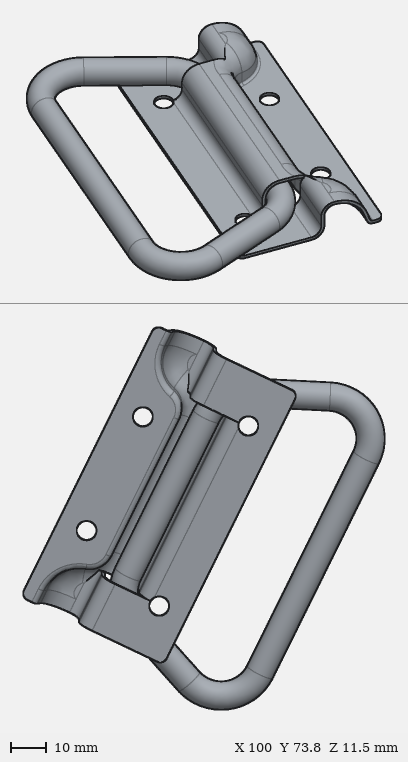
import cadquery as cq
import math


sheet = 1.0
plate_length = 86.0
plate_back = 24.5
plate_front = -19.8
corner_radius = 2.0
hole_diameter = 5.5
hole_places = [(18.0, 16.2), (28.5, -11.4)]

ridge_height = 11.5
slit_x = 28.2
end_crest_y = 9.5
end_wall_y = 5.5
middle_crest_y = 2.5
middle_wall_y = -6.0
end_front_round = 4.0
middle_front_round = 5.2
front_foot_radius = 3.0
back_foot_radius = 0.8
end_back_round = 10.5
middle_back_round = 5.2
end_foot_reach = 11.7
middle_foot_reach = middle_back_round + back_foot_radius

bulge_x = 38.7
hollow_x = 21.7
hollow_radius = 5.0
end_foot_y = end_crest_y + end_foot_reach
middle_foot_y = middle_crest_y + middle_foot_reach
run_x = bulge_x - hollow_x
run_y = end_foot_y - middle_foot_y
bulge_radius = (run_x**2 + run_y**2) / (2 * run_y) - hollow_radius
bulge_y = end_foot_y - bulge_radius
hollow_y = middle_foot_y + hollow_radius
turn = math.asin(run_x / (bulge_radius + hollow_radius))
junction_blend = bulge_radius / (bulge_radius + hollow_radius)
core_radius = 0.5
crest_clearance = 1.4
convex_steps = 5
concave_steps = 4

rod_diameter = 8.0
rod_height = 5.2
bend_radius = 12.0
pivot_half = 25.0
grip_half = 34.0
grip_y = -45.3


def front_profile(wall_y, round_radius, offset):
    """Area under the front of the ridge, `offset` inside its outer face, in (y, z)."""
    top = ridge_height - offset
    wall = wall_y + offset
    foot_radius = front_foot_radius + offset
    foot_y = wall_y - front_foot_radius
    floor = sheet - offset
    radius = round_radius - offset
    diagonal = math.sqrt(0.5)
    outline = (
        cq.Workplane("YZ")
        .moveTo(plate_back, 0)
        .lineTo(plate_back, top)
        .lineTo(wall + radius, top)
        .threePointArc((wall + radius * (1 - diagonal), top - radius * (1 - diagonal)), (wall, top - radius))
        .lineTo(wall, floor + foot_radius)
        .threePointArc(
            (foot_y + foot_radius * diagonal, floor + foot_radius * (1 - diagonal)), (foot_y, floor)
        )
    )
    if floor > 0:
        outline = outline.lineTo(foot_y, 0)
    return outline.close()


def front_region(offset):
    """Everything behind the front faces of the two end ridges and the middle arch."""
    full = front_profile(end_wall_y, end_front_round, offset).extrude(plate_length / 2, both=True)
    middle = front_profile(middle_wall_y, middle_front_round, offset).extrude(slit_x, both=True)
    return full.union(middle)


def reach_at(blend):
    """Distance from crest to foot, `blend` of the way from the plate end to the middle arch."""
    return end_foot_reach + blend * (middle_foot_reach - end_foot_reach)


def back_section(blend, foot, outward, flat, offset):
    """Closed wire across the back wall, in the vertical plane through the point `foot`.

    `outward` points from the ridge to the plate. `blend` goes from 0 at the plate end to 1 at
    the middle arch, and `flat` is the length of ridge top kept beyond the crest.
    """
    reach = reach_at(blend)
    crest_round = end_back_round + blend * (middle_back_round - end_back_round)
    round_z = ridge_height - crest_round
    foot_z = sheet + back_foot_radius
    distance = math.hypot(reach, foot_z - round_z)
    wall_angle = math.atan2(foot_z - round_z, reach) + math.acos(
        (crest_round + back_foot_radius) / distance
    )
    crest_radius = crest_round - offset
    foot_radius = back_foot_radius + offset
    floor = sheet - offset

    def point(u, z):
        back = reach - u
        return cq.Vector(foot[0] - back * outward[0], foot[1] - back * outward[1], z)

    def crest_point(angle):
        return point(crest_radius * math.cos(angle), round_z + crest_radius * math.sin(angle))

    def foot_point(angle):
        return point(reach - foot_radius * math.cos(angle), foot_z - foot_radius * math.sin(angle))

    up = math.pi / 2
    middle_angle = (wall_angle + up) / 2
    corners = [crest_point(up), point(-flat, ridge_height - offset), point(-flat, 0), point(reach, 0)]
    if floor > 0:
        corners.append(point(reach, floor))
    edges = [cq.Edge.makeLine(a, b) for a, b in zip(corners, corners[1:])]
    edges += [
        cq.Edge.makeThreePointArc(foot_point(up), foot_point(middle_angle), foot_point(wall_angle)),
        cq.Edge.makeLine(foot_point(wall_angle), crest_point(wall_angle)),
        cq.Edge.makeThreePointArc(crest_point(wall_angle), crest_point(middle_angle), crest_point(up)),
    ]
    return cq.Wire.assembleEdges(edges)


def straight_run(blend, start_x, end_x, foot_y, offset):
    """Straight stretch of the back wall along X."""
    flat = foot_y - plate_front - end_foot_reach
    section = back_section(blend, (start_x, foot_y), (0, 1), flat, offset)
    return cq.Workplane(cq.Solid.extrudeLinear(section, [], cq.Vector(end_x - start_x, 0, 0)))


def bend(centre, radius, side, angles, blends, offset):
    """Curved stretch of the back wall about `centre`, lofted through radial sections.

    `side` is 1 where the wall bulges away from `centre` and -1 where it is hollow. The angles
    turn the outward direction from +Y towards -X on a bend that lies on the +X half.
    """
    sections = []
    for angle, blend in zip(angles, blends):
        outward = (-math.sin(angle), math.cos(angle))
        foot = (centre[0] + side * radius * outward[0], centre[1] + side * radius * outward[1])
        flat = bulge_radius - reach_at(blend) - core_radius / 2
        sections.append(back_section(blend, foot, outward, flat, offset))
    return cq.Workplane(cq.Solid.makeLoft(sections))


def bulge(offset):
    shares = [step / convex_steps for step in range(convex_steps + 1)]
    angles = [turn * share for share in shares]
    blends = [junction_blend * share for share in shares]
    return bend((bulge_x, bulge_y), bulge_radius, 1, angles, blends, offset)


def hollow(offset):
    shares = [step / concave_steps for step in range(concave_steps + 1)]
    angles = [turn * (1 - share) for share in shares]
    blends = [junction_blend + (1 - junction_blend) * share for share in shares]
    return bend((hollow_x, hollow_y), hollow_radius, -1, angles, blends, offset)


def flat_top(offset):
    """Level top in front of the bends on the +X half, clear of the sloping back wall."""
    top = ridge_height - offset
    clear_radius = hollow_radius + reach_at(junction_blend) + crest_clearance
    area = (
        cq.Workplane("XY")
        .moveTo(hollow_x, plate_front)
        .lineTo(bulge_x, plate_front)
        .lineTo(bulge_x, bulge_y)
        .lineTo(hollow_x, bulge_y)
        .close()
        .extrude(top)
    )
    slope = cq.Workplane("XY").center(hollow_x, hollow_y).circle(clear_radius).extrude(top)
    core = cq.Workplane("XY").center(bulge_x, bulge_y).circle(core_radius).extrude(top)
    return area.cut(slope).union(core)


def back_region(offset):
    """Everything in front of the winding back wall of the ridge."""
    half = straight_run(0, plate_length / 2, bulge_x, end_foot_y, offset)
    for part in (bulge(offset), hollow(offset), flat_top(offset)):
        half = half.union(part)
    middle = straight_run(1, -hollow_x, hollow_x, middle_foot_y, offset)
    return middle.union(half).union(half.mirror("YZ"))


def ridge(offset):
    """Ridge filled solid down to z = 0; an offset of one sheet gives the hollow under it."""
    return front_region(offset).intersect(back_region(offset))


def make_bracket():
    plate = (
        cq.Workplane("XY")
        .center(0, (plate_back + plate_front) / 2)
        .rect(plate_length, plate_back - plate_front)
        .extrude(sheet)
        .edges("|Z")
        .fillet(corner_radius)
    )
    holes = (
        cq.Workplane("XY")
        .pushPoints([(side * x, y) for x, y in hole_places for side in (-1, 1)])
        .circle(hole_diameter / 2)
        .extrude(ridge_height)
    )
    return plate.union(ridge(0)).cut(ridge(sheet)).cut(holes)


def make_handle():
    top_centre = (pivot_half, -bend_radius)
    low_centre = (grip_half, grip_y + bend_radius)
    splay = math.atan2(low_centre[0] - top_centre[0], top_centre[1] - low_centre[1])

    def on_bend(centre, angle):
        return (centre[0] + bend_radius * math.cos(angle), centre[1] + bend_radius * math.sin(angle))

    def flip(place):
        return (-place[0], place[1])

    top_middle = on_bend(top_centre, (math.pi / 2 + splay) / 2)
    top_end = on_bend(top_centre, splay)
    low_start = on_bend(low_centre, splay)
    low_middle = on_bend(low_centre, (splay - math.pi / 2) / 2)
    path = (
        cq.Workplane("XY", origin=(0, 0, rod_height))
        .moveTo(0, 0)
        .lineTo(pivot_half, 0)
        .threePointArc(top_middle, top_end)
        .lineTo(*low_start)
        .threePointArc(low_middle, (grip_half, grip_y))
        .lineTo(-grip_half, grip_y)
        .threePointArc(flip(low_middle), flip(low_start))
        .lineTo(*flip(top_end))
        .threePointArc(flip(top_middle), (-pivot_half, 0))
        .close()
    )
    rod = cq.Workplane("YZ", origin=(0, 0, rod_height)).circle(rod_diameter / 2)
    return rod.sweep(path)


bracket = make_bracket()
handle = make_handle()
result = cq.Compound.makeCompound([bracket.val(), handle.val()])